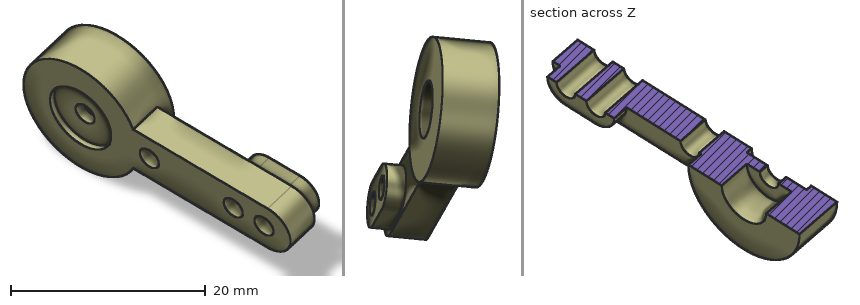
import cadquery as cq

total_length = 35.0
disc_diameter = 15.0
disc_thickness = 6.0

arm_width = 6.0
arm_thickness = 4.0
arm_reach = total_length - disc_diameter / 2
arm_end_x = arm_reach - arm_width / 2

hole_diameter = 2.5
near_hole_x = 9.0
inner_end_hole_x = 20.0
outer_end_hole_x = 24.0
hole_positions = (0, near_hole_x, inner_end_hole_x, outer_end_hole_x)

pad_width = 5.0
pad_length = outer_end_hole_x - inner_end_hole_x + pad_width
pad_center_x = (inner_end_hole_x + outer_end_hole_x) / 2

recess_diameter = 8.0
recess_depth = 0.75

back_bore_diameter = 6.0
web_thickness = 1.25
back_bore_depth = disc_thickness - recess_depth - web_thickness


def cylinder(diameter, depth, x=0, start_y=0):
    """Cylinder along Y, from start_y towards the back."""
    profile = cq.Workplane("XZ", origin=(x, start_y, 0)).circle(diameter / 2)
    return profile.extrude(-depth)


def make_arm():
    bar = cq.Workplane("XY").box(arm_end_x, arm_thickness, arm_width, centered=(False, False, True))
    return bar.union(cylinder(arm_width, arm_thickness, arm_end_x))


def make_pad():
    back_of_arm = cq.Workplane("XZ", origin=(pad_center_x, arm_thickness, 0))
    return back_of_arm.slot2D(pad_length, pad_width).extrude(arm_thickness - disc_thickness)


result = cylinder(disc_diameter, disc_thickness).union(make_arm()).union(make_pad())
result = result.cut(cylinder(recess_diameter, recess_depth))
back_bore_start = disc_thickness - back_bore_depth
result = result.cut(cylinder(back_bore_diameter, back_bore_depth, start_y=back_bore_start))
for hole_x in hole_positions:
    result = result.cut(cylinder(hole_diameter, disc_thickness, hole_x))